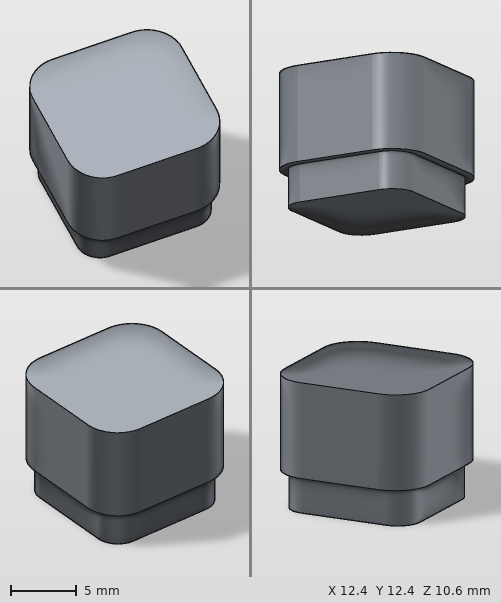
import cadquery as cq

cap_side = 12.4
total_height = 10.6
cap_corner_radius = 2.9

plug_length_x = 10.8
plug_length_y = 11.0
plug_height = 3.0
plug_corner_radius = 1.9

cap_height = total_height - plug_height


def rounded_block(length_x, length_y, height, corner_radius, bottom_z):
    """Upright block centred on the Z axis with rounded vertical edges."""
    return (
        cq.Workplane("XY")
        .workplane(offset=bottom_z)
        .rect(length_x, length_y)
        .extrude(height)
        .edges("|Z")
        .fillet(corner_radius)
    )


plug = rounded_block(plug_length_x, plug_length_y, plug_height, plug_corner_radius, 0)
cap = rounded_block(cap_side, cap_side, cap_height, cap_corner_radius, plug_height)

result = cap.union(plug)